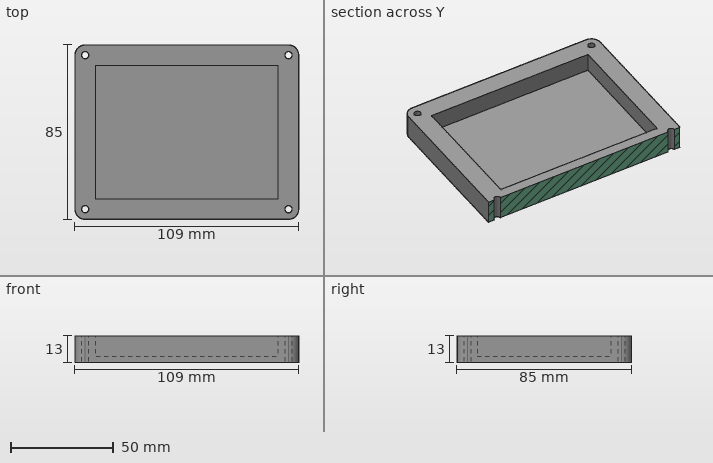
import cadquery as cq

length = 109.0
width = 85.0
height = 13.0
corner_radius = 5.0

wall = 10.0
floor = 3.0
pocket_length = length - 2 * wall
pocket_width = width - 2 * wall
pocket_depth = height - floor

hole_diameter = 3.4
hole_span_x = length - 2 * corner_radius
hole_span_y = width - 2 * corner_radius


def make_body():
    """Rounded rectangular block standing on Z = 0."""
    block = cq.Workplane("XY").box(length, width, height, centered=(True, True, False))
    return block.edges("|Z").fillet(corner_radius)


def cut_pocket(body):
    """Sharp-cornered rectangular pocket that leaves a thin floor."""
    return body.faces(">Z").workplane().rect(pocket_length, pocket_width).cutBlind(-pocket_depth)


def cut_screw_holes(body):
    """Through hole at each corner."""
    corners = body.faces(">Z").workplane().rect(hole_span_x, hole_span_y, forConstruction=True)
    return corners.vertices().hole(hole_diameter)


result = cut_screw_holes(cut_pocket(make_body()))